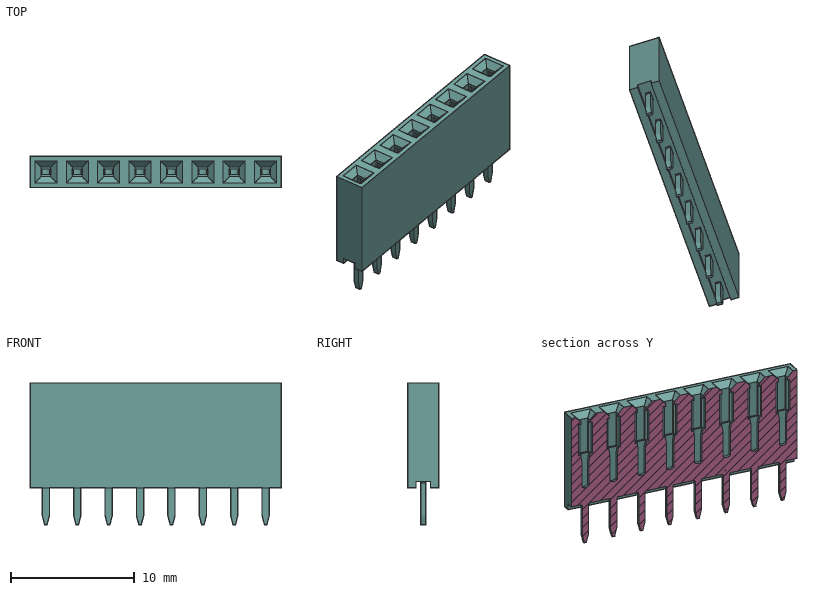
import cadquery as cq
import math

PITCH = 2.54
PIN_COUNT = 8
HOUSING_LENGTH = PITCH * PIN_COUNT
HOUSING_WIDTH = PITCH
HOUSING_HEIGHT = 8.5
CHANNEL_WIDTH = 1.15
CHANNEL_DEPTH = 0.5

FUNNEL_MOUTH = 1.78
HOLE_SIDE = 0.78
FUNNEL_DEPTH = (FUNNEL_MOUTH - HOLE_SIDE) / 2
FUNNEL_FLOOR_Z = HOUSING_HEIGHT - FUNNEL_DEPTH
HOLE_FLOOR_Z = 5.0

CONTACT_THICKNESS = 0.44

RECESS_LENGTH = 1.2
RECESS_ROOF_DROP = 0.25
RECESS_ROOF_Z = FUNNEL_FLOOR_Z - RECESS_ROOF_DROP

GAP_MOUTH = 0.82
GAP_PINCH = 0.62
GAP_LEAD_IN = 0.6
GAP_ROOT_Z = 2.0
GAP_ROOT_RADIUS = 0.5

TAIL_WIDTH = 0.6
TAIL_LENGTH = 3.0
TAIL_TIP_WIDTH = 0.2
TAIL_TAPER = 0.75
SHOULDER_HEIGHT = 0.1
SHOULDER_OVERHANG = 0.065

CELL_CENTERS = [((i - (PIN_COUNT - 1) / 2) * PITCH, 0) for i in range(PIN_COUNT)]


def at_every_cell(shape):
    """Copies of one cell's shape along the row."""
    return cq.Workplane("XY").pushPoints(CELL_CENTERS).eachpoint(lambda place: shape.val().moved(place))


def upright_box(length, width, bottom_z, top_z):
    """Box centred on the Z axis between two heights."""
    return cq.Workplane("XY", origin=(0, 0, bottom_z)).rect(length, width).extrude(top_z - bottom_z)


def make_housing():
    """Block with an open channel along the middle of its underside."""
    block = upright_box(HOUSING_LENGTH, HOUSING_WIDTH, 0, HOUSING_HEIGHT)
    channel = upright_box(HOUSING_LENGTH, CHANNEL_WIDTH, 0, CHANNEL_DEPTH)
    return block.cut(channel)


def make_funnel():
    """Square funnel opening at the top of the housing."""
    return (
        cq.Workplane("XY", origin=(0, 0, FUNNEL_FLOOR_Z))
        .rect(HOLE_SIDE, HOLE_SIDE)
        .workplane(offset=FUNNEL_DEPTH)
        .rect(FUNNEL_MOUTH, FUNNEL_MOUTH)
        .loft(ruled=True)
    )


def make_tine_gap():
    """Gap between the contact tines, below the hole floor."""
    half_pinch = GAP_PINCH / 2
    half_mouth = GAP_MOUTH / 2
    pinch_top_z = HOLE_FLOOR_Z - GAP_LEAD_IN
    root_sag = GAP_ROOT_RADIUS - math.sqrt(GAP_ROOT_RADIUS**2 - half_pinch**2)
    root_top_z = GAP_ROOT_Z + root_sag
    return (
        cq.Workplane("XZ")
        .moveTo(-half_mouth, HOLE_FLOOR_Z)
        .lineTo(-half_pinch, pinch_top_z)
        .lineTo(-half_pinch, root_top_z)
        .threePointArc((0, GAP_ROOT_Z), (half_pinch, root_top_z))
        .lineTo(half_pinch, pinch_top_z)
        .lineTo(half_mouth, HOLE_FLOOR_Z)
        .close()
        .extrude(CONTACT_THICKNESS / 2, both=True)
    )


def make_cavity():
    """Everything hollow in one cell, from the funnel down to the root of the tine gap."""
    hole = upright_box(HOLE_SIDE, HOLE_SIDE, HOLE_FLOOR_Z, FUNNEL_FLOOR_Z)
    recess = upright_box(RECESS_LENGTH, CONTACT_THICKNESS, HOLE_FLOOR_Z, RECESS_ROOF_Z)
    return make_funnel().union(hole).union(recess).union(make_tine_gap())


def make_tail():
    """Flat solder tail with a tapered tip and sloped shoulders against the channel roof."""
    half_width = TAIL_WIDTH / 2
    half_tip = TAIL_TIP_WIDTH / 2
    half_shoulder = half_width + SHOULDER_OVERHANG
    taper_top_z = TAIL_TAPER - TAIL_LENGTH
    shoulder_z = CHANNEL_DEPTH - SHOULDER_HEIGHT
    return (
        cq.Workplane("XZ")
        .moveTo(-half_tip, -TAIL_LENGTH)
        .lineTo(half_tip, -TAIL_LENGTH)
        .lineTo(half_width, taper_top_z)
        .lineTo(half_width, shoulder_z)
        .lineTo(half_shoulder, CHANNEL_DEPTH)
        .lineTo(-half_shoulder, CHANNEL_DEPTH)
        .lineTo(-half_width, shoulder_z)
        .lineTo(-half_width, taper_top_z)
        .close()
        .extrude(CONTACT_THICKNESS / 2, both=True)
    )


result = make_housing().cut(at_every_cell(make_cavity())).union(at_every_cell(make_tail()))